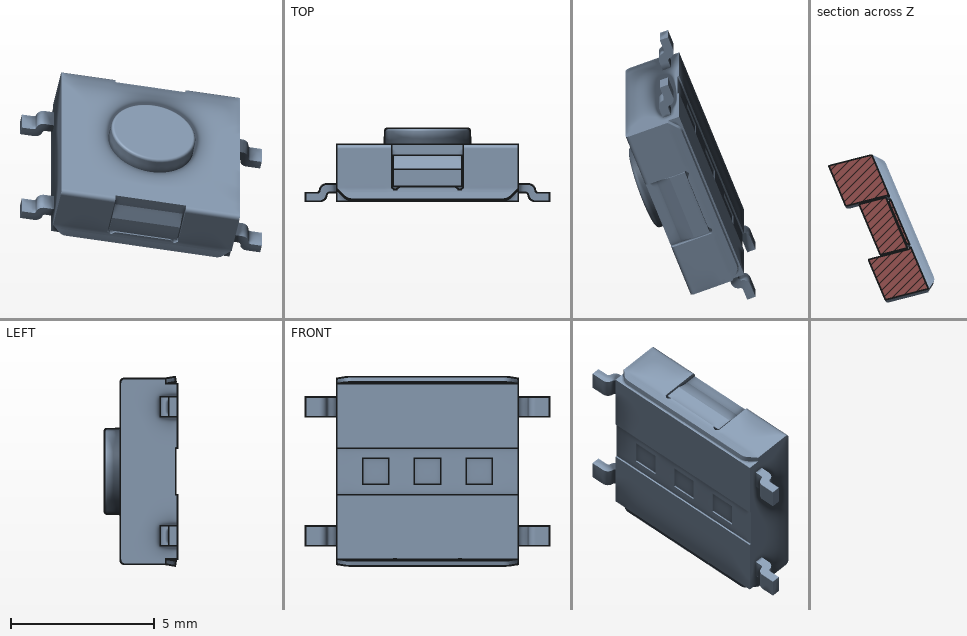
import cadquery as cq
import math

overall_length = 8.5

body_width = 6.32
body_depth = 2.0
body_half_height = 3.24
back_round = 0.15
shoulder_half_height = 3.05
shoulder_depth = 0.42

channel_height = 1.62
channel_depth = 0.06
pocket_size = 0.91
pocket_spacing = 1.8
pocket_depth = 0.05

lip_thickness = 0.19
lip_angle = math.radians(10)
lip_bend_start = 0.49
lip_bend_end = 0.33
lip_tip = 0.085
lip_corner_width = 0.365
lip_corner_run = 0.36
lip_corner_radius = 0.34

window_width = 2.5
window_depth = 0.2
window_bottom = 0.49
window_sill = 0.52
relief_bottom = 0.42
relief_outer_inset = 0.09
relief_flat = 0.06
relief_width = 0.28

latch_width = 2.4
latch_height = 0.17
latch_bottom = 0.535
latch_ramp_start = 1.11
latch_top = 1.61

button_root_radius = 1.505
button_tip_radius = 1.49
button_tip = 2.55
button_round = 0.1

lead_width = 0.7
lead_spacing = 4.49
lead_thickness = 0.31
lead_outer_radius = 0.255
lead_inner_radius = 0.09
lead_foot_start = 3.76
lead_bend_start = 3.5
lead_embed = 0.085


def extrude_along_x(profile, width):
    """Extrude a closed profile drawn in (Y, Z) symmetrically about X = 0."""
    return profile.extrude(width / 2, both=True)


def make_body():
    body = cq.Workplane("XY").box(
        body_width, body_depth, 2 * body_half_height, centered=(True, False, True)
    )
    body = body.faces(">Y").edges("|X").fillet(back_round)
    shoulder_height = body_half_height - shoulder_half_height
    for side in (1, -1):
        middle = side * (shoulder_half_height + shoulder_height / 2)
        step = cq.Workplane("XY", origin=(0, 0, middle)).box(
            body_width, shoulder_depth, shoulder_height, centered=(True, False, True)
        )
        body = body.cut(step)
    return body


def cut_soldering_face(body):
    channel = cq.Workplane("XY").box(
        body_width, channel_depth, channel_height, centered=(True, False, True)
    )
    body = body.cut(channel)
    for column in (-1, 0, 1):
        pocket = cq.Workplane("XY", origin=(column * pocket_spacing, channel_depth, 0)).box(
            pocket_size, pocket_depth, pocket_size, centered=(True, False, True)
        )
        body = body.cut(pocket)
    return body


def make_upper_lip():
    bend_radius = (lip_bend_start - lip_bend_end) / math.sin(lip_angle)

    def on_bend(angle):
        return (
            lip_bend_start - bend_radius * math.sin(angle),
            body_half_height + bend_radius * (1 - math.cos(angle)),
        )

    bend_end = on_bend(lip_angle)
    tip_outer = (lip_tip, bend_end[1] + (lip_bend_end - lip_tip) * math.tan(lip_angle))
    inward = (-lip_thickness * math.sin(lip_angle), -lip_thickness * math.cos(lip_angle))
    tip_inner = (tip_outer[0] + inward[0], tip_outer[1] + inward[1])
    bend_inner = (bend_end[0] + inward[0], bend_end[1] + inward[1])
    profile = (
        cq.Workplane("YZ")
        .moveTo(lip_bend_start, body_half_height)
        .threePointArc(on_bend(lip_angle / 2), bend_end)
        .lineTo(*tip_outer)
        .lineTo(*tip_inner)
        .lineTo(*bend_inner)
        .lineTo(lip_bend_start, body_half_height - lip_thickness)
        .close()
    )
    lip = extrude_along_x(profile, body_width)

    half_width = body_width / 2
    lip_plane = cq.Plane(
        origin=(0, *tip_outer),
        xDir=(1, 0, 0),
        normal=(0, math.sin(lip_angle), math.cos(lip_angle)),
    )
    outline = (
        cq.Workplane(lip_plane)
        .polyline([
            (-half_width, body_depth),
            (-half_width, lip_corner_run),
            (lip_corner_width - half_width, 0),
            (half_width - lip_corner_width, 0),
            (half_width, lip_corner_run),
            (half_width, body_depth),
        ])
        .close()
        .extrude(body_depth, both=True)
        .edges(cq.selectors.ParallelDirSelector(lip_plane.zDir))
        .edges(cq.selectors.DirectionMinMaxSelector(lip_plane.yDir, False))
        .fillet(lip_corner_radius)
    )
    return lip.intersect(outline)


def make_upper_window():
    edge = window_width / 2
    right_half = [
        (edge, body_depth),
        (edge, window_bottom),
        (edge - relief_outer_inset, relief_bottom),
        (edge - relief_outer_inset - relief_flat, relief_bottom),
        (edge - relief_width, window_sill),
    ]
    left_half = [(-x, y) for x, y in reversed(right_half)]
    return (
        cq.Workplane("XY", origin=(0, 0, body_half_height - window_depth))
        .polyline(right_half + left_half)
        .close()
        .extrude(2 * window_depth)
    )


def make_upper_latch():
    floor = body_half_height - window_depth
    profile = (
        cq.Workplane("YZ")
        .polyline([
            (latch_bottom, floor),
            (latch_bottom, floor + latch_height),
            (latch_ramp_start, floor + latch_height),
            (latch_top, floor),
        ])
        .close()
    )
    return extrude_along_x(profile, latch_width)


def make_button():
    profile = (
        cq.Workplane("XY")
        .polyline([
            (0, body_depth),
            (-button_root_radius, body_depth),
            (-button_tip_radius, button_tip),
            (0, button_tip),
        ])
        .close()
    )
    button = profile.revolve(360, (0, 0, 0), (0, 1, 0))
    return button.faces(">Y").edges().fillet(button_round)


def make_lead():
    """One lead on the +X side, centred on Z = 0."""
    foot_end = overall_length / 2
    root = body_width / 2 - lead_embed
    top = 2 * lead_thickness

    turn = math.acos(1 - lead_thickness / (lead_outer_radius + lead_inner_radius))
    run = (lead_outer_radius + lead_inner_radius) * math.sin(turn)

    def arc_point(start, direction, radius, angle):
        """Point reached from a level tangent at `start`, moving by signs `direction`."""
        return (
            start[0] + direction[0] * radius * math.sin(angle),
            start[1] + direction[1] * radius * (1 - math.cos(angle)),
        )

    upper_start = (lead_bend_start, top)
    upper_end = (lead_bend_start + run, lead_thickness)
    lower_start = (lead_foot_start, 0)
    lower_end = (lead_foot_start - run, lead_thickness)
    outward_down = (1, -1)
    inward_up = (-1, 1)
    return (
        cq.Workplane("XY")
        .moveTo(root, top)
        .lineTo(*upper_start)
        .threePointArc(
            arc_point(upper_start, outward_down, lead_outer_radius, turn / 2),
            arc_point(upper_start, outward_down, lead_outer_radius, turn),
        )
        .threePointArc(arc_point(upper_end, inward_up, lead_inner_radius, turn / 2), upper_end)
        .lineTo(foot_end, lead_thickness)
        .lineTo(foot_end, 0)
        .lineTo(*lower_start)
        .threePointArc(
            arc_point(lower_start, inward_up, lead_outer_radius, turn / 2),
            arc_point(lower_start, inward_up, lead_outer_radius, turn),
        )
        .threePointArc(arc_point(lower_end, outward_down, lead_inner_radius, turn / 2), lower_end)
        .lineTo(root, lead_thickness)
        .close()
        .extrude(lead_width / 2, both=True)
    )


result = cut_soldering_face(make_body())

upper_lip = make_upper_lip()
result = result.union(upper_lip).union(upper_lip.mirror("XY"))

upper_window = make_upper_window()
result = result.cut(upper_window).cut(upper_window.mirror("XY"))

upper_latch = make_upper_latch()
result = result.union(upper_latch).union(upper_latch.mirror("XY"))

result = result.union(make_button())

right_lead = make_lead()
for lead in (right_lead, right_lead.mirror("YZ")):
    for level in (-lead_spacing / 2, lead_spacing / 2):
        result = result.union(lead.translate((0, 0, level)))